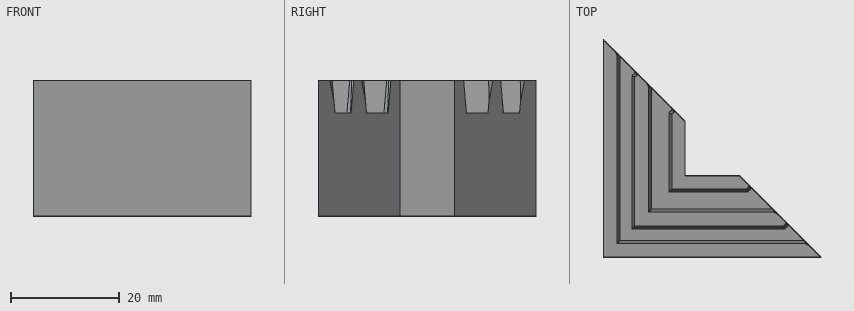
import cadquery as cq
import math

leg_length = 40.0
height = 25.0
wall = 15.0
inner_face = 25.0

groove_depth = 6.0
draft_angle = 5.0
draft_inset = groove_depth * math.tan(math.radians(draft_angle))
groove_walls = [(2.5, 5.75), (8.3, 12.55)]
mouth_setback = 1.1
mouth_flare = 0.4
overrun = 2.0


def mirrored(points):
    """Close an outline symmetric about the line X = Y, given its lower half."""
    return points + [(y, x) for x, y in reversed(points[1:-1])]


def corner_body():
    outline = mirrored([(0, 0), (leg_length, 0), (inner_face, wall), (wall, wall)])
    return cq.Workplane("XY").polyline(outline).close().extrude(height)


def groove(outer_wall, inner_wall):
    """L-shaped trench with drafted walls, its mouths turned square to the mitre."""
    flare_x = leg_length - outer_wall - mouth_flare
    kink_x = leg_length - inner_wall - mouth_setback
    turn = (mouth_setback - mouth_flare) / 2
    outline = mirrored([
        (outer_wall, outer_wall),
        (flare_x, outer_wall),
        (flare_x + 2 * overrun, outer_wall - overrun),
        (kink_x + turn, inner_wall + turn + overrun),
        (kink_x + turn, inner_wall + turn),
        (kink_x, inner_wall),
        (inner_wall, inner_wall),
    ])
    top = cq.Workplane("XY", origin=(0, 0, height)).polyline(outline).close()
    floor = top.offset2D(-draft_inset, "intersection").translate((0, 0, -groove_depth))
    return cq.Solid.makeLoft([top.val(), floor.val()], True)


result = corner_body()
for outer_wall, inner_wall in groove_walls:
    result = result.cut(groove(outer_wall, inner_wall))